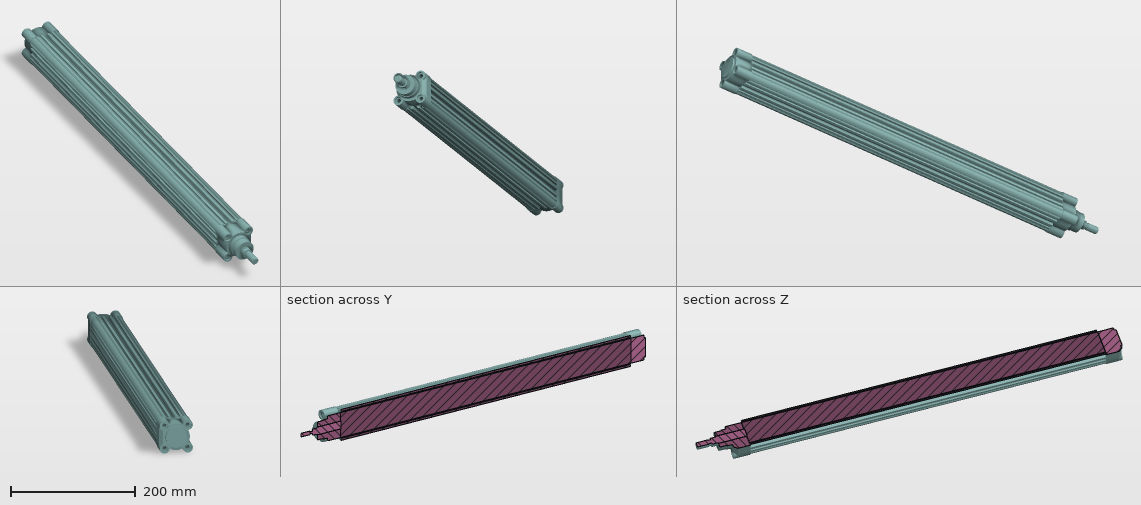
import cadquery as cq


TOTAL_LENGTH = 713.0
BOSS_LENGTH = 3.0
CAP_LENGTH = 28.0
TUBE_LENGTH = 599.5
COLLAR_LENGTH = 8.5
GUIDE_LENGTH = 12.0
TUBE_START = BOSS_LENGTH + CAP_LENGTH
TUBE_END = TUBE_START + TUBE_LENGTH
FRONT_FACE = TUBE_END + CAP_LENGTH
GUIDE_START = FRONT_FACE + COLLAR_LENGTH
GUIDE_END = GUIDE_START + GUIDE_LENGTH

WIDTH = 54.0
CORE_DIAMETER = 44.0
PILLAR_DIAMETER = 16.5
PILLAR_OFFSET = (WIDTH - PILLAR_DIAMETER) / 2
WEB_INNER_EDGE = PILLAR_OFFSET - PILLAR_DIAMETER / 2
WEB_OUTER_EDGE = 20.0
COUNTERBORE_DIAMETER = 11.5
COUNTERBORE_DEPTH = 3.5
SCREW_HOLE_DIAMETER = 6.5
SCREW_HOLE_DEPTH = 14.0
PORT_BLOCK_TOP = WIDTH / 2
PORT_BLOCK_SLOPE_LENGTH = 6.5

COLLAR_DIAMETER = 35.0
GUIDE_DIAMETER = 33.0

TUBE_INSET = 0.5
TUBE_HALF = WIDTH / 2 - TUBE_INSET
TUBE_CORNER_RADIUS = 9.0
SLOT_FLOOR_DIAMETER = CORE_DIAMETER
SLOT_HALF_MOUTH = 3.9
SLOT_HALF_THROAT = 2.5
SLOT_HALF_FLOOR = 5.0
LIP_THICKNESS = 4.0
LIP_UNDERSIDE = TUBE_HALF - LIP_THICKNESS
GROOVE_CENTER = 10.0
GROOVE_WIDTH = 4.0
GROOVE_DEPTH = 3.0
NOTCH_CENTER = 17.0
NOTCH_DEPTH = 1.8

SHANK_DIAMETER = 16.0
SHANK_PROJECTION = 2.0
SHANK_END = GUIDE_END + SHANK_PROJECTION
TIP_DIAMETER = 15.0
TIP_LENGTH = 8.0
TIP_END = SHANK_END + TIP_LENGTH
FLATS_SPACING = 13.0
FLATS_LENGTH = 6.5
NECK_DIAMETER = 11.0
NECK_LENGTH = 4.0
THREAD_DIAMETER = 12.0
THREAD_START = TIP_END + NECK_LENGTH
THREAD_CHAMFER = 1.1


def cross_section(x):
    """Workplane across the axis: local x is +Y, local y is +Z, extruding toward +X."""
    return cq.Workplane("YZ", origin=(x, 0, 0))


def disc(x, diameter, length):
    return cross_section(x).circle(diameter / 2).extrude(length)


def at_four_corners(x, offset):
    """Workplane at x holding the four points (+-offset, +-offset) around the axis."""
    return cross_section(x).rect(2 * offset, 2 * offset, forConstruction=True).vertices()


def make_webs(x, depth):
    """Square blocks that fill the gaps between the core and the pillars."""
    width = WEB_OUTER_EDGE - WEB_INNER_EDGE
    center = (WEB_INNER_EDGE + WEB_OUTER_EDGE) / 2
    return at_four_corners(x, center).rect(width, width).extrude(depth)


def make_port_block(outer_x, inward):
    """Block on the +Y side that slopes from the core up to the full width."""
    inner_x = outer_x + inward * CAP_LENGTH
    slope_end_x = outer_x + inward * PORT_BLOCK_SLOPE_LENGTH
    return (
        cq.Workplane("XY", origin=(0, 0, -WEB_OUTER_EDGE))
        .moveTo(outer_x, 0)
        .lineTo(outer_x, CORE_DIAMETER / 2)
        .lineTo(slope_end_x, PORT_BLOCK_TOP)
        .lineTo(inner_x, PORT_BLOCK_TOP)
        .lineTo(inner_x, 0)
        .close()
        .extrude(2 * WEB_OUTER_EDGE)
    )


def make_screw_holes(outer_x, inward):
    """Cutters for the counterbored blind holes in the pillars."""
    counterbores = (
        at_four_corners(outer_x, PILLAR_OFFSET)
        .circle(COUNTERBORE_DIAMETER / 2)
        .extrude(inward * COUNTERBORE_DEPTH)
    )
    holes = (
        at_four_corners(outer_x, PILLAR_OFFSET)
        .circle(SCREW_HOLE_DIAMETER / 2)
        .extrude(inward * SCREW_HOLE_DEPTH)
    )
    return counterbores.union(holes)


def make_cap_body(outer_x, inward):
    """Cap from its outer face at outer_x; inward is the direction to the tube, +1 or -1 along X."""
    depth = inward * CAP_LENGTH
    core = disc(outer_x, CORE_DIAMETER, depth)
    pillars = at_four_corners(outer_x, PILLAR_OFFSET).circle(PILLAR_DIAMETER / 2).extrude(depth)
    return (
        core.union(pillars)
        .union(make_webs(outer_x, depth))
        .union(make_port_block(outer_x, inward))
        .cut(make_screw_holes(outer_x, inward))
    )


def make_rear_cap():
    return make_cap_body(BOSS_LENGTH, 1).union(disc(0, COLLAR_DIAMETER, BOSS_LENGTH))


def make_front_cap():
    collar = disc(FRONT_FACE, COLLAR_DIAMETER, COLLAR_LENGTH)
    guide = disc(GUIDE_START, GUIDE_DIAMETER, GUIDE_LENGTH)
    rod_hole = disc(TUBE_END, SHANK_DIAMETER, GUIDE_END - TUBE_END)
    return make_cap_body(FRONT_FACE, -1).union(collar).union(guide).cut(rod_hole)


def make_slot():
    """Cutter for the T-slot of the +Z side: tapered mouth, wider floor rounded about the axis."""
    half_outline = [
        (SLOT_HALF_MOUTH, TUBE_HALF),
        (SLOT_HALF_THROAT, LIP_UNDERSIDE),
        (SLOT_HALF_FLOOR, LIP_UNDERSIDE),
        (SLOT_HALF_FLOOR, 0),
    ]
    mirrored_half = [(-y, z) for y, z in reversed(half_outline)]
    return (
        cross_section(TUBE_START)
        .polyline(half_outline + mirrored_half)
        .close()
        .extrude(TUBE_LENGTH)
        .cut(disc(TUBE_START, SLOT_FLOOR_DIAMETER, TUBE_LENGTH))
    )


def make_groove(center):
    """Cutter for a rectangular groove of the +Z side."""
    return (
        cross_section(TUBE_START)
        .center(center, TUBE_HALF - GROOVE_DEPTH / 2)
        .rect(GROOVE_WIDTH, GROOVE_DEPTH)
        .extrude(TUBE_LENGTH)
    )


def make_notch(center):
    """Cutter for a right-angled V-notch of the +Z side."""
    return (
        cross_section(TUBE_START)
        .center(center, TUBE_HALF)
        .polyline([(-NOTCH_DEPTH, 0), (0, -NOTCH_DEPTH), (NOTCH_DEPTH, 0)])
        .close()
        .extrude(TUBE_LENGTH)
    )


def make_tube():
    tube = (
        cross_section(TUBE_START)
        .rect(2 * TUBE_HALF, 2 * TUBE_HALF)
        .extrude(TUBE_LENGTH)
        .edges("|X")
        .fillet(TUBE_CORNER_RADIUS)
    )
    cutters = [make_slot()]
    for side in (-1, 1):
        cutters.append(make_groove(side * GROOVE_CENTER))
        cutters.append(make_notch(side * NOTCH_CENTER))
    for cutter in cutters:
        for angle in (0, 90, 180, 270):
            tube = tube.cut(cutter.rotate((0, 0, 0), (1, 0, 0), angle))
    return tube


def make_rod():
    shank = disc(TUBE_END, SHANK_DIAMETER, SHANK_END - TUBE_END)
    tip = disc(SHANK_END, TIP_DIAMETER, TIP_LENGTH)
    for side in (-1, 1):
        flat_center_z = side * (FLATS_SPACING + TIP_DIAMETER) / 2
        flat = (
            cq.Workplane("XY")
            .box(FLATS_LENGTH, TIP_DIAMETER, TIP_DIAMETER)
            .translate((SHANK_END + FLATS_LENGTH / 2, 0, flat_center_z))
        )
        tip = tip.cut(flat)
    neck = disc(TIP_END, NECK_DIAMETER, NECK_LENGTH)
    thread = disc(THREAD_START, THREAD_DIAMETER, TOTAL_LENGTH - THREAD_START)
    thread = thread.faces(">X").chamfer(THREAD_CHAMFER)
    return shank.union(tip).union(neck).union(thread)


rear_cap = make_rear_cap()
front_cap = make_front_cap()
tube = make_tube()
rod = make_rod()

result = cq.Compound.makeCompound([rear_cap.val(), front_cap.val(), tube.val(), rod.val()])